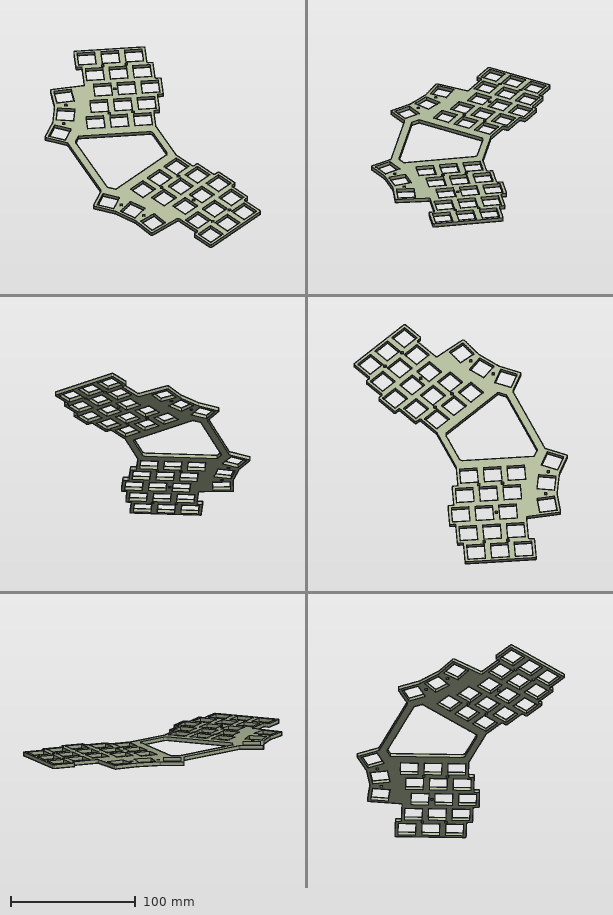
import cadquery as cq
import math

key_opening = 14.0
key_rim = 2.5
pitch = key_opening + 2 * key_rim
half_pitch = pitch / 2
row_count = 3
column_shift = pitch / 4
column_shifts = [0, column_shift, 2 * column_shift, column_shift, 0]
column_count = len(column_shifts)
hand_tilt = -20

outer_thumb = (-83.0, -24.3, -15)
middle_thumb = (-63.0, -32.7, -30)
inner_thumb = (-45.2, -46.0, -45)
thumb_keys = [outer_thumb, middle_thumb, inner_thumb]

plate_length = 255.6
plate_width = 118.0
plate_thickness = 3.0
corner_radius = 1.0

window_top = 21.2
window_bottom = -39.5
window_gap = 15.3
window_top_radius = 3.0
bar_bottom = -45.8

hole_diameter = 2.2
outer_thumb_hole = (-72.9, -27.5)
inner_thumb_hole = (-53.7, -38.5)


def placed(centre, tilt, u, v):
    """Point at (u, v) in a frame with the given centre and tilt in degrees."""
    cosine = math.cos(math.radians(tilt))
    sine = math.sin(math.radians(tilt))
    return (centre[0] + u * cosine - v * sine, centre[1] + u * sine + v * cosine)


grid_top = half_pitch
grid_bottom = grid_top - row_count * pitch
rounding_inset = corner_radius - half_pitch
lower_rounding = placed((0, 0), hand_tilt, rounding_inset, grid_bottom + corner_radius)
upper_rounding = placed((0, 0), hand_tilt, rounding_inset, grid_top - corner_radius)
first_key = (
    -plate_length / 2 + corner_radius - lower_rounding[0],
    plate_width / 2 - corner_radius - upper_rounding[1],
)


def on_grid(u, v):
    """Point in the tilted frame of the left hand, measured from its first key."""
    return placed(first_key, hand_tilt, u, v)


def on_thumb(thumb, u, v):
    """Point in the tilted frame of a thumb key, measured from its centre."""
    return placed(thumb[:2], thumb[2], u, v)


def meeting_point(point_a, tilt_a, point_b, tilt_b):
    """Point where two lines meet, each given by a point and a direction in degrees."""
    ax, ay = math.cos(math.radians(tilt_a)), math.sin(math.radians(tilt_a))
    bx, by = math.cos(math.radians(tilt_b)), math.sin(math.radians(tilt_b))
    dx, dy = point_b[0] - point_a[0], point_b[1] - point_a[1]
    distance = (dx * by - dy * bx) / (ax * by - ay * bx)
    return (point_a[0] + distance * ax, point_a[1] + distance * ay)


def level_crossing(point, tilt, y):
    """Point at a given y on the line through a point in the given direction."""
    return meeting_point(point, tilt, (0, y), 0)


def extruded(points):
    return cq.Workplane("XY").polyline(points).close().extrude(plate_thickness)


def both_hands(left_half):
    return left_half.union(left_half.mirror("YZ")).clean()


def column_top_points():
    """Stepped upper edge of the key columns, two points per column."""
    points = []
    for column, shift in enumerate(column_shifts):
        for side in (-half_pitch, half_pitch):
            points.append(on_grid(column * pitch + side, grid_top + shift))
    return points


def make_outline():
    top_points = column_top_points()
    second_bottom = on_grid(half_pitch, grid_bottom + column_shift)
    outer_thumb_corner = on_thumb(outer_thumb, -half_pitch, -half_pitch)
    thumb_side_tilt = outer_thumb[2] + 90
    inner_thumb_tip = on_thumb(inner_thumb, half_pitch, -half_pitch)
    points = top_points + [
        (0, top_points[-1][1]),
        (0, bar_bottom),
        level_crossing(inner_thumb_tip, inner_thumb[2] + 90, bar_bottom),
        inner_thumb_tip,
        on_thumb(inner_thumb, -half_pitch, -half_pitch),
        on_thumb(middle_thumb, -half_pitch, -half_pitch),
        outer_thumb_corner,
        meeting_point(outer_thumb_corner, thumb_side_tilt, second_bottom, hand_tilt),
        second_bottom,
        on_grid(half_pitch, grid_bottom),
        on_grid(-half_pitch, grid_bottom),
    ]
    return both_hands(extruded(points)).edges("|Z").fillet(corner_radius)


def make_window():
    side = on_grid((column_count - 1) * pitch + window_gap, 0)
    side_tilt = hand_tilt + 90
    bevel = on_thumb(inner_thumb, 0, window_gap)
    bevel_tilt = inner_thumb[2]
    points = [
        (0, window_top),
        level_crossing(side, side_tilt, window_top),
        meeting_point(side, side_tilt, bevel, bevel_tilt),
        level_crossing(bevel, bevel_tilt, window_bottom),
        (0, window_bottom),
    ]
    window = both_hands(extruded(points))
    return window.edges("|Z").edges(">Y").fillet(window_top_radius)


def opening(centre, tilt):
    key = cq.Workplane("XY").rect(key_opening, key_opening).extrude(plate_thickness)
    return key.rotate((0, 0, 0), (0, 0, 1), tilt).translate((centre[0], centre[1], 0))


def key_openings():
    openings = []
    for column, shift in enumerate(column_shifts):
        for row in range(row_count):
            openings.append(opening(on_grid(column * pitch, shift - row * pitch), hand_tilt))
    for x, y, tilt in thumb_keys:
        openings.append(opening((x, y), tilt))
    return openings


def hole_centres():
    centres = [outer_thumb_hole, inner_thumb_hole]
    first_line = half_pitch
    last_line = (column_count - 1) * pitch - half_pitch
    first_gap = column_shift / 2 - half_pitch
    for line in (first_line, last_line):
        for gap in range(row_count - 1):
            centres.append(on_grid(line, first_gap - gap * pitch))
    middle_column = column_count // 2
    lower_gap = column_shifts[middle_column] - pitch - half_pitch
    centres.append(on_grid(middle_column * pitch, lower_gap))
    return centres


hole_sketch = cq.Workplane("XY").pushPoints(hole_centres()).circle(hole_diameter / 2)
holes = hole_sketch.extrude(plate_thickness)

result = make_outline().cut(make_window())
for cutter in key_openings() + [holes]:
    result = result.cut(cutter).cut(cutter.mirror("YZ"))